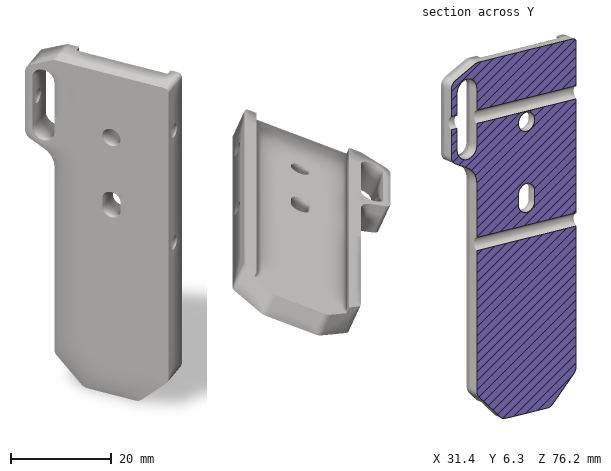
import cadquery as cq

height = 76.2
thickness = 6.3
total_width = 31.4
body_width = 25.0
ear_width = total_width - body_width
body_center_x = ear_width + body_width / 2

bottom_chamfer = 6.5
chamfer_round = 2.0
top_corner_round = 1.0

ear_slope = 0.5
ear_drop = ear_width * ear_slope
ear_top_z = height - ear_drop
ear_bottom_z = height - 19.65
ear_root_z = ear_bottom_z - ear_drop
ear_center_z = (ear_top_z + ear_bottom_z) / 2
ear_round = 2.0
ear_root_round = 4.0

ear_slot_width = 4.8
ear_slot_length = 16.8
ear_slot_x = ear_width - ear_slot_width / 2
mount_diameter = 4.0
mount_hole_z = height - 15.0
mount_slot_length = 6.0
mount_slot_z = height - 31.0

cross_hole_diameter = 3.0
cross_hole_y = 2.5
cross_hole_spacing = 26.7

channel_width = 20.0
channel_depth = 1.4


def extrude_through_thickness(sketch):
    """Extrude a sketch on the XZ plane from Y = 0 to the +Y face."""
    return sketch.extrude(-thickness)


def upright_slot(x, z, length, width):
    sketch = cq.Workplane("XZ").center(x, z).slot2D(length, width, 90)
    return extrude_through_thickness(sketch)


def round_edge(solid, x, z, radius):
    """Round the edge that runs along Y through the outline corner (x, z)."""
    corner = (x, thickness / 2, z)
    edge = cq.selectors.NearestToPointSelector(corner)
    return solid.edges("|Y").edges(edge).fillet(radius)


def make_plate():
    corners = [
        (ear_width, height, ear_round),
        (total_width, height, top_corner_round),
        (total_width, bottom_chamfer, chamfer_round),
        (total_width - bottom_chamfer, 0, chamfer_round),
        (ear_width + bottom_chamfer, 0, chamfer_round),
        (ear_width, bottom_chamfer, chamfer_round),
        (ear_width, ear_root_z, ear_root_round),
        (0, ear_bottom_z, ear_round),
        (0, ear_top_z, ear_round),
    ]
    outline = cq.Workplane("XZ").polyline([(x, z) for x, z, _ in corners]).close()
    plate = extrude_through_thickness(outline)
    for x, z, radius in corners:
        plate = round_edge(plate, x, z, radius)
    return plate


def make_channel():
    return (
        cq.Workplane("XY")
        .box(channel_width, channel_depth, height, centered=(True, False, False))
        .translate((body_center_x, thickness - channel_depth, 0))
    )


def make_mount_hole():
    sketch = cq.Workplane("XZ").center(body_center_x, mount_hole_z).circle(mount_diameter / 2)
    return extrude_through_thickness(sketch)


def make_cross_holes():
    hole_heights = [ear_center_z, ear_center_z - cross_hole_spacing]
    return (
        cq.Workplane("YZ")
        .pushPoints([(cross_hole_y, z) for z in hole_heights])
        .circle(cross_hole_diameter / 2)
        .extrude(total_width)
    )


result = (
    make_plate()
    .cut(make_channel())
    .cut(upright_slot(ear_slot_x, ear_center_z, ear_slot_length, ear_slot_width))
    .cut(make_mount_hole())
    .cut(upright_slot(body_center_x, mount_slot_z, mount_slot_length, mount_diameter))
    .cut(make_cross_holes())
)